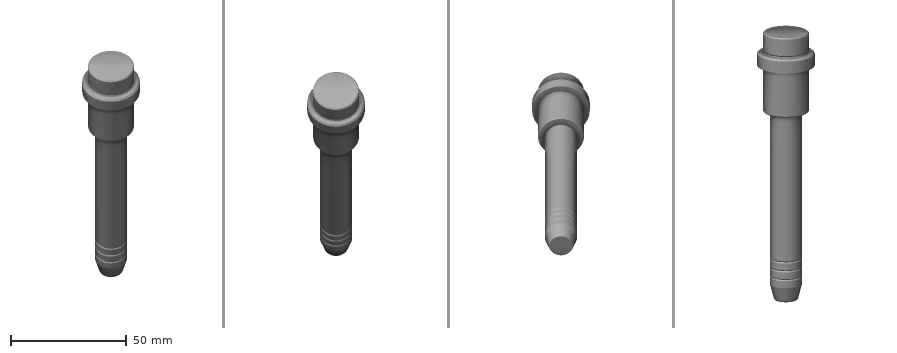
import cadquery as cq

length = 121.0
flange_top = 112.0
flange_bottom = 106.0
sleeve_bottom = 85.1
shank_top = 84.0
taper_height = 7.0

head_diameter = 20.0
flange_diameter = 25.0
head_radius = head_diameter / 2
flange_radius = flange_diameter / 2
shank_radius = 7.0
neck_radius = 6.5
tip_radius = 5.3

edge_chamfer = 0.5
flange_chamfer = 0.7
tip_chamfer_height = 0.6
tip_chamfer_width = 0.4

groove_depth = 0.4
shank_groove_half_height = 0.5
shank_groove_pitch = 4.0
shank_groove_count = 3
lowest_groove_height = 10.6
relief_half_height = 0.5
head_relief_height = flange_top + relief_half_height
sleeve_relief_height = flange_bottom - relief_half_height


def turned_body():
    """Revolve the stepped half-profile about Z."""
    return (
        cq.Workplane("XZ")
        .moveTo(0, 0)
        .lineTo(tip_radius - tip_chamfer_width, 0)
        .lineTo(tip_radius, tip_chamfer_height)
        .lineTo(shank_radius, taper_height)
        .lineTo(shank_radius, shank_top)
        .lineTo(neck_radius, shank_top)
        .lineTo(neck_radius, sleeve_bottom)
        .lineTo(head_radius - edge_chamfer, sleeve_bottom)
        .lineTo(head_radius, sleeve_bottom + edge_chamfer)
        .lineTo(head_radius, flange_bottom)
        .lineTo(flange_radius, flange_bottom)
        .lineTo(flange_radius, flange_top - flange_chamfer)
        .lineTo(flange_radius - flange_chamfer, flange_top)
        .lineTo(head_radius, flange_top)
        .lineTo(head_radius, length - edge_chamfer)
        .lineTo(head_radius - edge_chamfer, length)
        .lineTo(0, length)
        .close()
        .revolve(360, (0, 0), (0, 1))
    )


def v_groove(outer_radius, height, half_height):
    """Ring with a triangular section that cuts a V-groove around the Z axis."""
    return (
        cq.Workplane("XZ")
        .moveTo(outer_radius, height - half_height)
        .lineTo(outer_radius - groove_depth, height)
        .lineTo(outer_radius, height + half_height)
        .close()
        .revolve(360, (0, 0), (0, 1))
    )


result = turned_body()

for index in range(shank_groove_count):
    groove_height = lowest_groove_height + index * shank_groove_pitch
    result = result.cut(v_groove(shank_radius, groove_height, shank_groove_half_height))

for relief_height in (head_relief_height, sleeve_relief_height):
    result = result.cut(v_groove(head_radius, relief_height, relief_half_height))